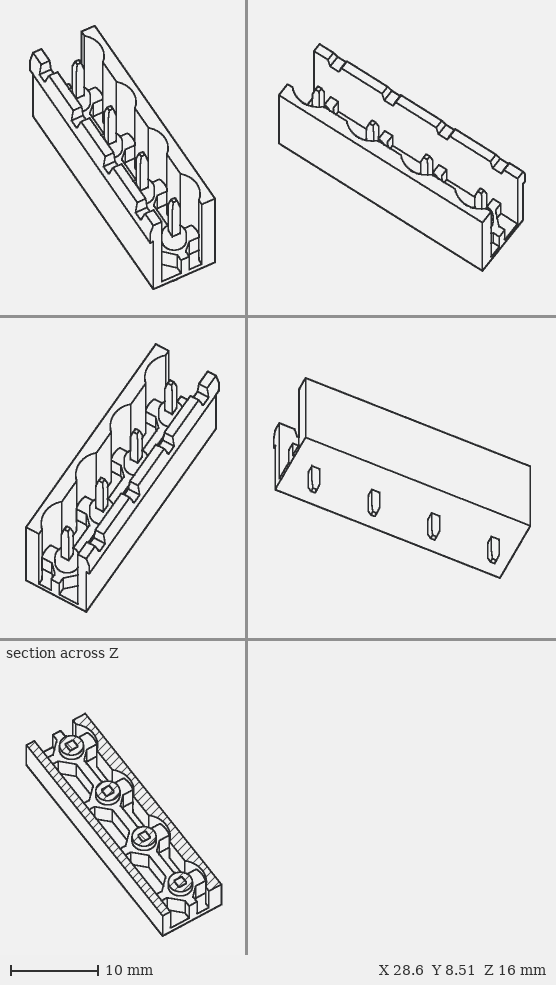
import cadquery as cq


pin_count = 4
pin_pitch = 7.62
pin_positions = [(i - (pin_count - 1) / 2) * pin_pitch for i in range(pin_count)]

pin_width = 1.0
pin_tip_width = 0.52
pin_top = 10.8
pin_bottom = -3.98
top_taper_height = 1.05
bottom_taper_height = 0.97

housing_length = 28.65
housing_height = 12.0
floor_thickness = 0.77
back_outer_y = 3.78
back_inner_y = 2.03
front_inner_y = -3.2
front_outer_y = -4.33

lip_front_y = -4.73
lip_bottom = 8.97
lip_slope_bottom = 10.72

notch_bottom_width = 1.23
notch_top_width = 1.85

groove_radius = 2.98

rib_top = 3.2
spine_back_y = 0.4
spine_front_y = -0.7
pad_back_width = 1.95
pad_stem_width = 1.1
pad_shoulder_y = 1.45

collar_diameter = 2.8
collar_top = 4.81
collar_fillet = 0.5


def make_channel():
    """U-shaped channel with the lip on its front wall, extruded along X."""
    profile = [
        (back_outer_y, 0),
        (back_outer_y, housing_height),
        (back_inner_y, housing_height),
        (back_inner_y, floor_thickness),
        (front_inner_y, floor_thickness),
        (front_inner_y, housing_height),
        (front_outer_y, housing_height),
        (lip_front_y, lip_slope_bottom),
        (lip_front_y, lip_bottom),
        (front_outer_y, lip_bottom),
        (front_outer_y, 0),
    ]
    return (
        cq.Workplane("YZ")
        .workplane(offset=-housing_length / 2)
        .polyline(profile)
        .close()
        .extrude(housing_length)
    )


def make_groove(x):
    """Cutter for the round groove in the back wall behind one pin."""
    cylinder = (
        cq.Workplane("XY", origin=(x, 0, floor_thickness))
        .circle(groove_radius)
        .extrude(housing_height - floor_thickness)
    )
    back_half = cq.Workplane("XY", origin=(x, 0, 0)).box(
        2 * groove_radius, groove_radius, housing_height, centered=(True, False, False)
    )
    return cylinder.intersect(back_half)


def make_notch(x):
    """Cutter for the tapered notch in the front wall ahead of one pin."""
    bottom_half = notch_bottom_width / 2
    top_half = notch_top_width / 2
    return (
        cq.Workplane("XZ", origin=(x, front_inner_y, 0))
        .polyline([
            (-bottom_half, lip_slope_bottom),
            (bottom_half, lip_slope_bottom),
            (top_half, housing_height),
            (-top_half, housing_height),
        ])
        .close()
        .extrude(front_inner_y - lip_front_y)
    )


def make_spine():
    """Straight rib along the whole floor."""
    return cq.Workplane("XY").box(
        housing_length, spine_back_y - spine_front_y, rib_top, centered=(True, False, False)
    ).translate((0, spine_front_y, 0))


def make_pad(x):
    """Widened rib around one pin, with 45 degree flanks, reaching into both walls."""
    back_half = pad_back_width / 2
    stem_half = pad_stem_width / 2
    flare_half = back_half + pad_shoulder_y - spine_back_y
    stem_start_y = spine_front_y - (flare_half - stem_half)
    right_side = [
        (back_half, groove_radius),
        (back_half, pad_shoulder_y),
        (flare_half, spine_back_y),
        (flare_half, spine_front_y),
        (stem_half, stem_start_y),
        (stem_half, front_outer_y),
    ]
    left_side = [(-px, py) for px, py in reversed(right_side)]
    return (
        cq.Workplane("XY", origin=(x, 0, 0))
        .polyline(right_side + left_side)
        .close()
        .extrude(rib_top)
    )


def make_collar(x):
    """Round collar with a rounded top edge, standing on the pad."""
    return (
        cq.Workplane("XY", origin=(x, 0, rib_top))
        .circle(collar_diameter / 2)
        .extrude(collar_top - rib_top)
        .faces(">Z")
        .edges()
        .fillet(collar_fillet)
    )


def make_pin_hole(x):
    """Cutter for the square hole that one pin fills."""
    return cq.Workplane("XY", origin=(x, 0, 0)).rect(pin_width, pin_width).extrude(collar_top)


def make_housing():
    """Channel with grooves, notches, floor ribs, collars and pin holes."""
    housing = make_channel()
    for x in pin_positions:
        housing = housing.cut(make_groove(x)).cut(make_notch(x))
    housing = housing.union(make_spine())
    for x in pin_positions:
        housing = housing.union(make_pad(x)).union(make_collar(x)).cut(make_pin_hole(x))
    return housing


def make_taper(x, start_z, end_z):
    """Pyramid-shaped pin end that narrows from start_z to end_z."""
    return (
        cq.Workplane("XY", origin=(x, 0, start_z))
        .rect(pin_width, pin_width)
        .workplane(offset=end_z - start_z)
        .rect(pin_tip_width, pin_tip_width)
        .loft(ruled=True)
    )


def make_pin(x):
    """Straight square pin, tapered at both ends."""
    shank_top = pin_top - top_taper_height
    shank_bottom = pin_bottom + bottom_taper_height
    shank = (
        cq.Workplane("XY", origin=(x, 0, shank_bottom))
        .rect(pin_width, pin_width)
        .extrude(shank_top - shank_bottom)
    )
    top_taper = make_taper(x, shank_top, pin_top)
    bottom_taper = make_taper(x, shank_bottom, pin_bottom)
    return shank.union(top_taper).union(bottom_taper)


housing = make_housing()
pins = [make_pin(x) for x in pin_positions]

result = cq.Compound.makeCompound([housing.solids().val(), *[pin.solids().val() for pin in pins]])